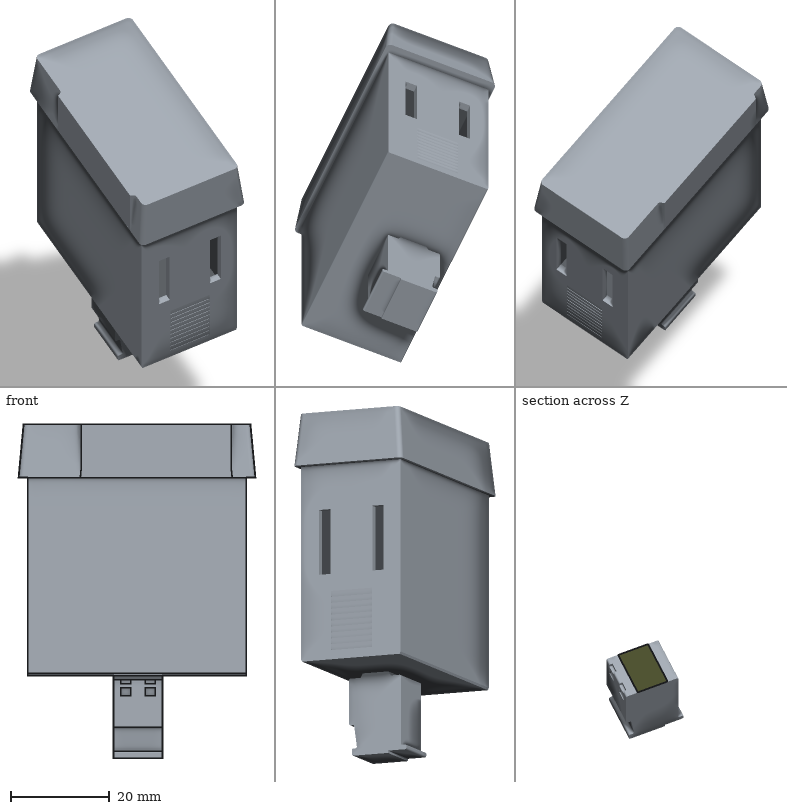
import cadquery as cq
import math


TOTAL_HEIGHT = 67.7
BEZEL_LENGTH = 48.0
BEZEL_DEPTH = 24.0
BEZEL_HEIGHT = 10.8
BEZEL_DRAFT = 1.0
BEZEL_CORNER_RADIUS = 1.0
BEZEL_BOTTOM = TOTAL_HEIGHT - BEZEL_HEIGHT
BEZEL_FRONT = -BEZEL_DEPTH / 2

PAD_LEFT = -11.3
PAD_RIGHT = 19.1
PAD_FLANK_SPREAD = 0.6
PAD_ROOT_RADIUS = 0.55
PAD_TRIM_WIDTH = 2.7

CASE_LENGTH = 44.3
CASE_DEPTH = 22.0
CASE_BOTTOM = 16.8
CASE_WALL = 1.5
CAVITY_FLOOR = 27.75
CASE_CHAMFER_HEIGHT = 0.5
CASE_CHAMFER_DEPTH = 0.2

SLOT_WIDTH = 2.5
SLOT_BOTTOM = 34.4
SLOT_HEIGHT = 13.35
SLOT_CENTRES_Y = (6.0, -5.75)

GRIP_WIDTH = 9.0
GRIP_CENTRE_Y = 0.15
GRIP_TOP = 30.9
GRIP_GROOVES = 10
GRIP_PITCH = 1.2
GRIP_GROOVE_DEPTH = 0.1

PLUG_WIDTH = 10.0
PLUG_CENTRE_X = 0.2
PLUG_FRONT = -7.85
PLUG_BACK = 3.65
PLUG_SHOULDER = 15.9
NECK_FRONT = -4.8
NECK_BACK = 0.8
NECK_FLARE = 0.55
STEP_HEIGHT = 6.3
STEP_FRONT = -6.8
FOOT_TOP = 1.5
FOOT_FRONT = -7.25
FOOT_ROOT = -6.1
LIP_BOTTOM = 0.5
LIP_BACK = 4.8
LIP_FRONT = 0.75
PLUG_ROUND = 0.35

POCKET_WIDTH = 2.0
POCKET_DEPTH = 0.7
POCKET_SPACING = 5.0
UPPER_POCKET = (15.15, 16.0)
LOWER_POCKET = (12.7, 14.3)


def box_between(x_range, y_range, z_range):
    """Box given by its lower and upper limit on each axis."""
    size = [high - low for low, high in (x_range, y_range, z_range)]
    corner = (x_range[0], y_range[0], z_range[0])
    return cq.Workplane("XY").box(*size, centered=False).translate(corner)


def make_pad_trim(face_edge, outward):
    """Leaning prism that shapes one flank of the pad; outward is -1 or +1 along X."""
    flank_angle = math.atan2(PAD_FLANK_SPREAD, BEZEL_DRAFT)
    corner_angle = math.pi / 2 + flank_angle
    tangent_length = PAD_ROOT_RADIUS / math.tan(corner_angle / 2)
    centre_distance = PAD_ROOT_RADIUS / math.sin(corner_angle / 2)
    arc_depth = centre_distance - PAD_ROOT_RADIUS

    root_x = face_edge + outward * PAD_FLANK_SPREAD
    root_y = BEZEL_FRONT + BEZEL_DRAFT
    flank_x = -outward * math.sin(flank_angle)
    flank_y = -math.cos(flank_angle)
    bisector_x = (outward + flank_x) / (2 * math.cos(corner_angle / 2))
    bisector_y = flank_y / (2 * math.cos(corner_angle / 2))
    reach = 2 * math.hypot(PAD_FLANK_SPREAD, BEZEL_DRAFT)
    far_x = root_x + outward * PAD_TRIM_WIDTH
    outer_y = root_y + reach * flank_y

    outline = (
        cq.Workplane("XY")
        .moveTo(far_x, root_y)
        .lineTo(root_x + outward * tangent_length, root_y)
        .threePointArc(
            (root_x + arc_depth * bisector_x, root_y + arc_depth * bisector_y),
            (root_x + tangent_length * flank_x, root_y + tangent_length * flank_y),
        )
        .lineTo(root_x + reach * flank_x, outer_y)
        .lineTo(far_x, outer_y)
        .close()
        .val()
        .translate(cq.Vector(0, 0, TOTAL_HEIGHT))
    )
    lean = cq.Vector(-outward * PAD_FLANK_SPREAD, -BEZEL_DRAFT, -BEZEL_HEIGHT)
    return cq.Workplane(cq.Solid.extrudeLinear(outline, [], lean))


def make_bezel():
    """Drafted cap with rounded corners and the upright pad on its -Y side."""
    draft_angle = math.degrees(math.atan2(BEZEL_DRAFT, BEZEL_HEIGHT))
    cap = (
        cq.Workplane("XY", origin=(0, 0, BEZEL_BOTTOM))
        .rect(BEZEL_LENGTH, BEZEL_DEPTH)
        .extrude(BEZEL_HEIGHT, taper=draft_angle)
        .edges("not #Z")
        .fillet(BEZEL_CORNER_RADIUS)
    )
    margin = PAD_TRIM_WIDTH / 2
    pad = box_between(
        (PAD_LEFT - margin, PAD_RIGHT + margin),
        (BEZEL_FRONT, BEZEL_FRONT + BEZEL_DRAFT),
        (BEZEL_BOTTOM, TOTAL_HEIGHT),
    )
    for face_edge, outward in ((PAD_LEFT, -1), (PAD_RIGHT, 1)):
        pad = pad.cut(make_pad_trim(face_edge, outward))
    return cap.union(pad)


def make_case():
    """Hollow case, closed above by the bezel, with chamfered long bottom edges."""
    half_length = CASE_LENGTH / 2
    half_depth = CASE_DEPTH / 2
    chamfer_top = CASE_BOTTOM + CASE_CHAMFER_HEIGHT
    foot_half_depth = half_depth - CASE_CHAMFER_DEPTH
    shell = (
        cq.Workplane("YZ", origin=(-half_length, 0, 0))
        .polyline(
            [
                (-foot_half_depth, CASE_BOTTOM),
                (foot_half_depth, CASE_BOTTOM),
                (half_depth, chamfer_top),
                (half_depth, BEZEL_BOTTOM),
                (-half_depth, BEZEL_BOTTOM),
                (-half_depth, chamfer_top),
            ]
        )
        .close()
        .extrude(CASE_LENGTH)
    )
    inner_length = half_length - CASE_WALL
    inner_depth = half_depth - CASE_WALL
    cavity = box_between(
        (-inner_length, inner_length),
        (-inner_depth, inner_depth),
        (CAVITY_FLOOR, BEZEL_BOTTOM),
    )
    return shell.cut(cavity)


def make_slots():
    """Bars that open the vertical slots in both end walls."""
    bars = cq.Workplane("XY")
    for centre_y in SLOT_CENTRES_Y:
        bars = bars.add(
            box_between(
                (-CASE_LENGTH / 2, CASE_LENGTH / 2),
                (centre_y - SLOT_WIDTH / 2, centre_y + SLOT_WIDTH / 2),
                (SLOT_BOTTOM, SLOT_BOTTOM + SLOT_HEIGHT),
            )
        )
    return bars.combine()


def make_grip_cutter(outward):
    """Sawtooth strip for the end wall on the -X (-1) or +X (+1) side."""
    wall = outward * CASE_LENGTH / 2
    floor = wall - outward * GRIP_GROOVE_DEPTH
    outside = wall + outward * GRIP_PITCH
    outline = [(outside, GRIP_TOP), (wall, GRIP_TOP)]
    for groove in range(1, GRIP_GROOVES + 1):
        groove_bottom = GRIP_TOP - groove * GRIP_PITCH
        outline.append((floor, groove_bottom))
        outline.append((wall, groove_bottom))
    outline.append((outside, groove_bottom))
    return (
        cq.Workplane("XZ", origin=(0, GRIP_CENTRE_Y + GRIP_WIDTH / 2, 0))
        .polyline(outline)
        .close()
        .extrude(GRIP_WIDTH)
    )


def make_housing():
    """Case and bezel as one body, with slots and grips on both ends."""
    housing = make_case().union(make_bezel()).cut(make_slots())
    for outward in (-1, 1):
        housing = housing.cut(make_grip_cutter(outward))
    return housing


def make_pocket(centre_x, heights):
    """Rectangular contact pocket in the -Y side of the plug."""
    return box_between(
        (centre_x - POCKET_WIDTH / 2, centre_x + POCKET_WIDTH / 2),
        (PLUG_FRONT, PLUG_FRONT + POCKET_DEPTH),
        heights,
    )


def make_plug():
    """Terminal plug that hangs from the underside of the case."""
    profile = [
        (NECK_BACK, CASE_BOTTOM),
        (NECK_BACK + NECK_FLARE, PLUG_SHOULDER),
        (PLUG_BACK, PLUG_SHOULDER),
        (PLUG_BACK, FOOT_TOP),
        (LIP_BACK, FOOT_TOP),
        (LIP_BACK, LIP_BOTTOM),
        (LIP_FRONT, LIP_BOTTOM),
        (LIP_FRONT, 0),
        (FOOT_FRONT, 0),
        (FOOT_FRONT, FOOT_TOP),
        (FOOT_ROOT, FOOT_TOP),
        (STEP_FRONT, STEP_HEIGHT),
        (PLUG_FRONT, STEP_HEIGHT),
        (PLUG_FRONT, PLUG_SHOULDER),
        (NECK_FRONT - NECK_FLARE, PLUG_SHOULDER),
        (NECK_FRONT, CASE_BOTTOM),
    ]
    rounded_corners = [
        (PLUG_BACK, PLUG_SHOULDER),
        (LIP_BACK, FOOT_TOP),
        (LIP_BACK, LIP_BOTTOM),
        (FOOT_FRONT, 0),
        (FOOT_FRONT, FOOT_TOP),
        (FOOT_ROOT, FOOT_TOP),
        (STEP_FRONT, STEP_HEIGHT),
        (PLUG_FRONT, STEP_HEIGHT),
        (PLUG_FRONT, PLUG_SHOULDER),
    ]
    left_end = PLUG_CENTRE_X - PLUG_WIDTH / 2
    plug = (
        cq.Workplane("YZ", origin=(left_end, 0, 0))
        .polyline(profile)
        .close()
        .extrude(PLUG_WIDTH)
    )
    for y, z in rounded_corners:
        corner = cq.selectors.NearestToPointSelector((PLUG_CENTRE_X, y, z))
        plug = plug.edges("|X").edges(corner).fillet(PLUG_ROUND)
    for side in (-1, 1):
        centre_x = PLUG_CENTRE_X + side * POCKET_SPACING / 2
        for heights in (UPPER_POCKET, LOWER_POCKET):
            plug = plug.cut(make_pocket(centre_x, heights))
    return plug


housing = make_housing()
plug = make_plug()

result = cq.Compound.makeCompound([housing.val(), plug.val()])